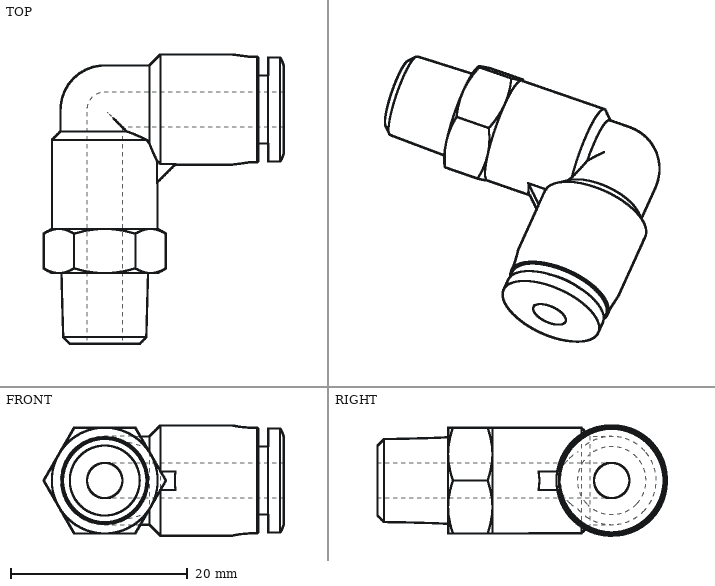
import cadquery as cq
import math


neck_radius = 5.0
bore_radius = 2.0

stem_radius = 6.0
stem_cone_start = 2.45
stem_cone_end = stem_cone_start + stem_radius - neck_radius
stem_length = 26.5

hex_flats = 2 * stem_radius
hex_start = 13.5
hex_end = 18.5
hex_chamfer_angle = math.radians(30)
hex_corner_radius = hex_flats / 2 / math.cos(math.pi / 6)
hex_chamfer_height = (hex_corner_radius - hex_flats / 2) * math.tan(hex_chamfer_angle)

thread_root_radius = 4.9
thread_end_radius = 4.7
thread_tip_radius = 3.95
thread_chamfer = thread_end_radius - thread_tip_radius

socket_radius = 6.25
socket_cone_start = 5.05
socket_cone_end = socket_cone_start + socket_radius - neck_radius
taper_start = 14.38
taper_end = 16.35
socket_rim_radius = 6.0
socket_end = 17.4
rim_chamfer = 0.15

collar_neck_radius = 3.85
collar_radius = 5.9
collar_start = 18.47
collar_end = 19.85
collar_face_radius = 4.88
collar_face = 20.27
collar_bulge = 0.05

gusset_width = 2.1
gusset_reach = 14.18


def revolve_stem(profile):
    """Revolve a (radius, y) outline about the Y axis."""
    return profile.close().revolve(360, (0, 0, 0), (0, 1, 0))


def make_stem():
    return revolve_stem(
        cq.Workplane("XY")
        .lineTo(neck_radius, 0)
        .lineTo(neck_radius, -stem_cone_start)
        .lineTo(stem_radius, -stem_cone_end)
        .lineTo(stem_radius, -hex_end)
        .lineTo(thread_root_radius, -hex_end)
        .lineTo(thread_end_radius, -(stem_length - thread_chamfer))
        .lineTo(thread_tip_radius, -stem_length)
        .lineTo(0, -stem_length)
    )


def make_hexagon():
    """Hexagon with corners on the X axis, trimmed by a cone at each end."""
    prism = (
        cq.Workplane("XZ", origin=(0, -hex_start, 0))
        .polygon(6, 2 * hex_corner_radius)
        .extrude(hex_end - hex_start)
    )
    trim = revolve_stem(
        cq.Workplane("XY")
        .moveTo(0, -hex_start)
        .lineTo(hex_flats / 2, -hex_start)
        .lineTo(hex_corner_radius, -(hex_start + hex_chamfer_height))
        .lineTo(hex_corner_radius, -(hex_end - hex_chamfer_height))
        .lineTo(hex_flats / 2, -hex_end)
        .lineTo(0, -hex_end)
    )
    return prism.intersect(trim)


def make_socket():
    edge_middle = (
        (collar_end + collar_face) / 2 + collar_bulge,
        (collar_radius + collar_face_radius) / 2,
    )
    return (
        cq.Workplane("XY")
        .lineTo(0, neck_radius)
        .lineTo(socket_cone_start, neck_radius)
        .lineTo(socket_cone_end, socket_radius)
        .lineTo(taper_start, socket_radius)
        .lineTo(taper_end, socket_rim_radius)
        .lineTo(socket_end - rim_chamfer, socket_rim_radius)
        .lineTo(socket_end, socket_rim_radius - rim_chamfer)
        .lineTo(socket_end, collar_neck_radius)
        .lineTo(collar_start, collar_neck_radius)
        .lineTo(collar_start, collar_radius)
        .lineTo(collar_end, collar_radius)
        .threePointArc(edge_middle, (collar_face, collar_face_radius))
        .lineTo(collar_face, 0)
        .close()
        .revolve(360, (0, 0, 0), (1, 0, 0))
    )


def make_gusset():
    return (
        cq.Workplane("XY")
        .moveTo(neck_radius, -neck_radius)
        .lineTo(gusset_reach - neck_radius, -neck_radius)
        .lineTo(neck_radius, -(gusset_reach - neck_radius))
        .close()
        .extrude(gusset_width / 2, both=True)
    )


def make_bore():
    """Passage through stem and socket, rounded where the two runs meet."""
    stem_run = cq.Workplane("XZ").circle(bore_radius).extrude(stem_length)
    socket_run = cq.Workplane("YZ").circle(bore_radius).extrude(collar_face)
    return stem_run.union(socket_run).union(cq.Workplane("XY").sphere(bore_radius))


elbow = cq.Workplane("XY").sphere(neck_radius)
body = make_stem().union(make_socket()).union(elbow)
body = body.union(make_hexagon()).union(make_gusset())
result = body.cut(make_bore())